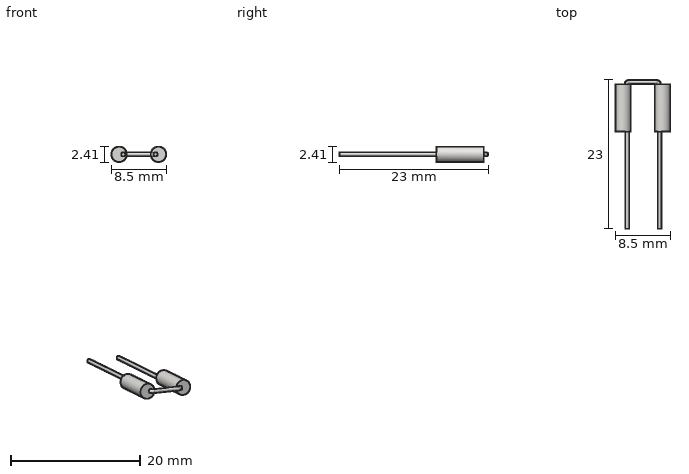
import cadquery as cq

overall_width = 8.5
overall_length = 23.0
bead_diameter = 2.41
wire_diameter = 0.65
lead_length = 15.0
wire_pitch = 5.0
lead_shift = 0.1
bridge_clearance = 0.005

wire_radius = wire_diameter / 2
bead_pitch = overall_width - bead_diameter
bead_length = overall_length - lead_length - wire_diameter - bridge_clearance
bend_radius = wire_radius + bridge_clearance


def rod_along_y(diameter, x, y_start, length):
    """Round rod parallel to Y, running from y_start toward +Y."""
    profile = cq.Workplane("XZ", origin=(x, y_start, 0)).circle(diameter / 2)
    return profile.extrude(-length)


def leaded_bead(side):
    """Bead with its front face at Y = 0 and its lead reaching toward -Y; side is -1 or 1 along X."""
    bead = rod_along_y(bead_diameter, side * bead_pitch / 2, 0, bead_length)
    lead_x = side * wire_pitch / 2 + lead_shift
    lead = rod_along_y(wire_diameter, lead_x, -lead_length, lead_length)
    return bead.union(lead)


def bridge_wire():
    """Wire from the back face of the left bead to that of the right one, with two quarter bends."""
    end_x = wire_pitch / 2
    straight_end_x = end_x - bend_radius
    axis_y = bead_length + bend_radius
    path = (
        cq.Workplane("XY")
        .moveTo(-end_x, bead_length)
        .radiusArc((-straight_end_x, axis_y), bend_radius)
        .lineTo(straight_end_x, axis_y)
        .radiusArc((end_x, bead_length), bend_radius)
    )
    profile = cq.Workplane("XZ", origin=(-end_x, bead_length, 0)).circle(wire_radius)
    return profile.sweep(path)


bridged_bead = leaded_bead(-1).union(bridge_wire())
plain_bead = leaded_bead(1)

result = cq.Compound.makeCompound([bridged_bead.solids().val(), plain_bead.solids().val()])